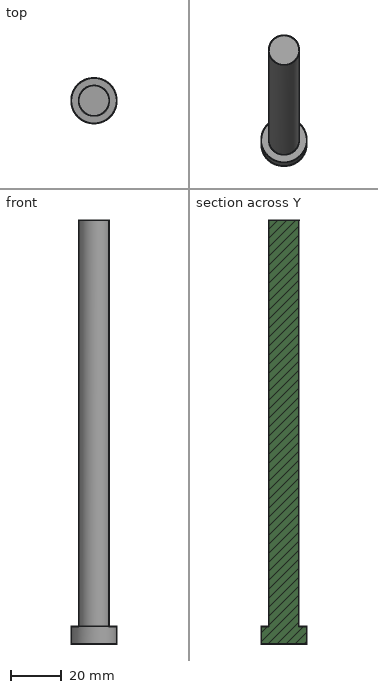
import cadquery as cq

total_length = 167.0
head_diameter = 18.0
head_height = 7.0
shaft_diameter = 12.0

head = cq.Workplane("XY").circle(head_diameter / 2).extrude(head_height)
shaft = cq.Workplane("XY").circle(shaft_diameter / 2).extrude(total_length)

result = head.union(shaft)